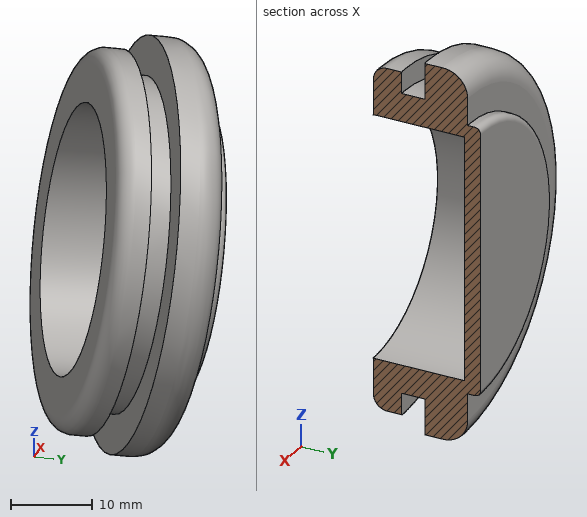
import cadquery as cq

overall_length = 15.0

front_diameter = 48.0
front_thickness = 4.0
front_fillet = 2.0

groove_diameter = 42.0
groove_width = 3.2

main_diameter = 52.0
main_thickness = 6.0
main_fillet = 3.5

disc_diameter = 37.6
disc_fillet = 0.9

bore_diameter = 34.0
bore_depth = 12.7

groove_start = front_thickness
main_start = groove_start + groove_width
disc_start = main_start + main_thickness
disc_thickness = overall_length - disc_start


def cylinder(diameter, start, length):
    """Solid cylinder along +Y beginning at Y = start."""
    plane = cq.Workplane("XZ", origin=(0, start, 0))
    return plane.circle(diameter / 2).extrude(-length)


front_flange = cylinder(front_diameter, 0, front_thickness)
front_flange = front_flange.faces("<Y").edges().fillet(front_fillet)
groove_core = cylinder(groove_diameter, groove_start, groove_width)
main_flange = cylinder(main_diameter, main_start, main_thickness)
main_flange = main_flange.faces(">Y").edges().fillet(main_fillet)
back_disc = cylinder(disc_diameter, disc_start, disc_thickness)
back_disc = back_disc.faces(">Y").edges().fillet(disc_fillet)
bore = cylinder(bore_diameter, 0, bore_depth)

result = front_flange.union(groove_core).union(main_flange).union(back_disc).cut(bore)